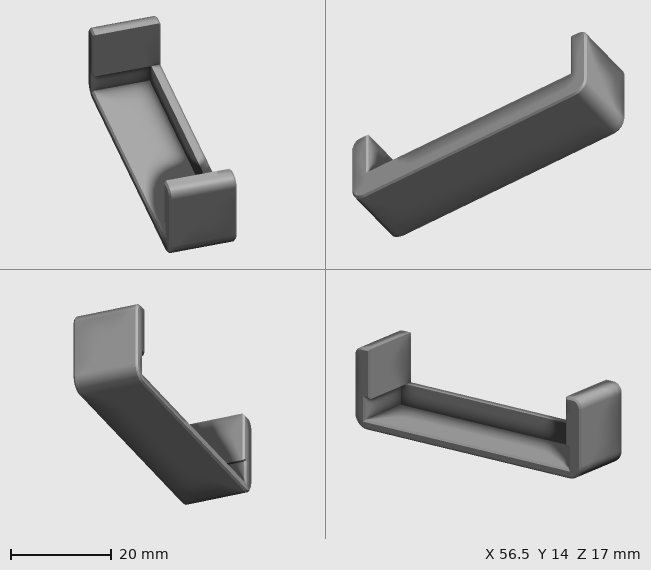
import cadquery as cq

length = 56.5
depth = 14.0
height = 17.0

floor_thickness = 2.0
back_thickness = 2.0
arm_thickness = 3.85
left_wall_thickness = 2.6
right_wall_thickness = 3.1
tray_top = 6.55

bottom_radius = 3.0
top_radius = 2.0
edge_chamfer = 0.4


def rounded_block():
    """Solid block with its four outer edges along Y rounded."""
    block = cq.Workplane("XY").box(length, depth, height, centered=(True, True, False))
    block = block.edges("|Y and <Z").fillet(bottom_radius)
    for end in (">X", "<X"):
        block = block.faces(">Z").edges(f"|Y and {end}").fillet(top_radius)
    return block


def arm_gap():
    """Opening between the two arms, running through the full depth."""
    return (
        cq.Workplane("XY", origin=(0, 0, tray_top))
        .box(length - 2 * arm_thickness, depth, height - tray_top, centered=(True, True, False))
    )


def tray_pocket():
    """Tray open at the front and reaching under both arms, closed by the back wall."""
    tray_corner = (-length / 2 + left_wall_thickness, -depth / 2, floor_thickness)
    tray_length = length - left_wall_thickness - right_wall_thickness
    tray_depth = depth - back_thickness
    tray_height = tray_top - floor_thickness
    return cq.Workplane("XY", origin=tray_corner).box(tray_length, tray_depth, tray_height, centered=False)


holder = rounded_block().cut(arm_gap()).cut(tray_pocket())

result = holder.faces("<Y or >Y").edges().chamfer(edge_chamfer)